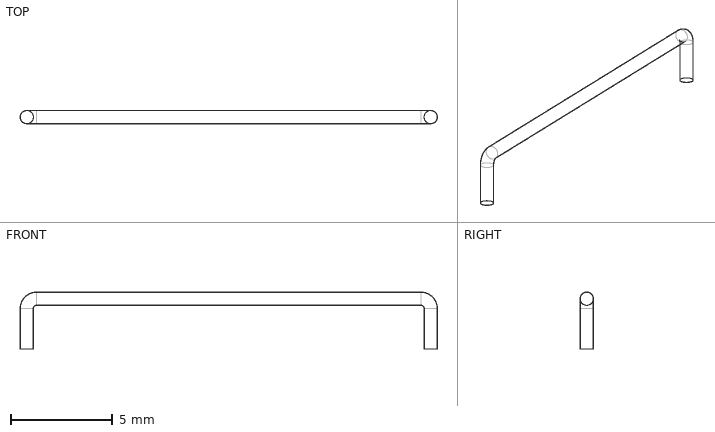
import cadquery as cq

length = 20.65
height = 2.83
wire_diameter = 0.66
bend_outer_radius = 0.83

wire_radius = wire_diameter / 2
bend_radius = bend_outer_radius - wire_radius
leg_x = length / 2 - wire_radius
bar_z = height / 2 - wire_radius
foot_z = -height / 2
bend_start_z = bar_z - bend_radius
bar_end_x = leg_x - bend_radius

centreline = (
    cq.Workplane("XZ")
    .moveTo(-leg_x, foot_z)
    .lineTo(-leg_x, bend_start_z)
    .tangentArcPoint((-bar_end_x, bar_z), relative=False)
    .lineTo(bar_end_x, bar_z)
    .tangentArcPoint((leg_x, bend_start_z), relative=False)
    .lineTo(leg_x, foot_z)
)

result = (
    cq.Workplane("XY", origin=(-leg_x, 0, foot_z))
    .circle(wire_radius)
    .sweep(centreline)
)